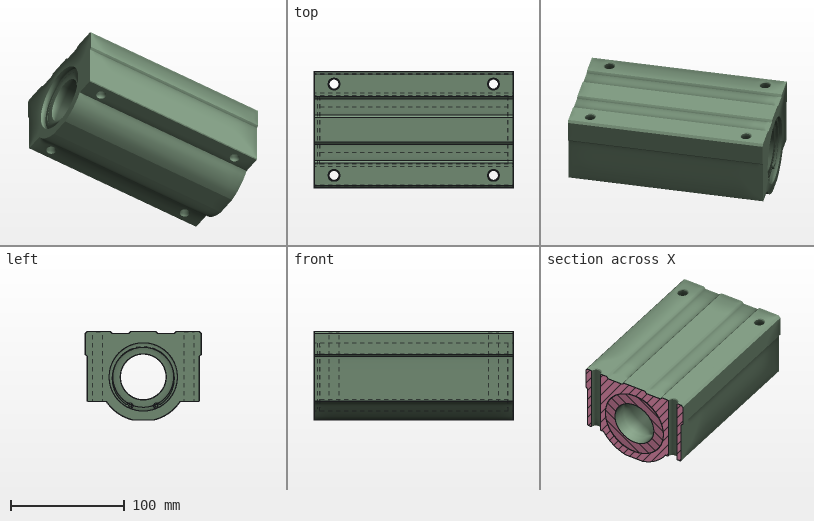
import cadquery as cq


length = 175.0
flange_width = 102.0
body_width = 98.5
top_z = 40.0
flange_bottom_z = 19.8
flange_chamfer = 2.0
body_bottom_z = -21.7
body_corner_chamfer = 0.7

belly_radius = 39.0
belly_flat_z = -38.0

groove_offset = 20.0
groove_top_width = 18.2
groove_depth = 2.0

hole_diameter = 8.8
hole_mouth_diameter = 10.3
countersink_angle = 90
hole_spacing_x = 140.0
hole_spacing_y = 80.2

bearing_diameter = 60.0
shaft_diameter = 40.0
bearing_inset = 4.9
seal_diameter = 53.4
seal_recess = 0.2

ring_thickness = 2.0
ring_inner_diameter = 54.6
ring_inner_drop = 1.31
ear_diameter = 4.9
ear_hole_diameter = 2.5
ear_y = 11.5
ear_z = -25.4
ear_fillet = 1.4

bearing_length = length - 2 * bearing_inset
bearing_start_x = -bearing_length / 2


def disc(diameter, start_x, thickness, z=0.0):
    """Cylinder along X, starting at start_x."""
    plane = cq.Workplane("YZ", origin=(start_x, 0, z))
    return plane.circle(diameter / 2).extrude(thickness)


def make_block():
    """Flanged block, extruded from its right half outline and mirrored."""
    flange_y = flange_width / 2
    body_y = body_width / 2
    step = flange_y - body_y
    half_outline = [
        (0, top_z),
        (flange_y - flange_chamfer, top_z),
        (flange_y, top_z - flange_chamfer),
        (flange_y, flange_bottom_z),
        (body_y, flange_bottom_z - step),
        (body_y, body_bottom_z + body_corner_chamfer),
        (body_y - body_corner_chamfer, body_bottom_z),
        (0, body_bottom_z),
    ]
    plane = cq.Workplane("YZ", origin=(-length / 2, 0, 0))
    half = plane.polyline(half_outline).close().extrude(length)
    return half.union(half.mirror("XZ"))


def make_belly():
    """Cylinder around the shaft axis, with a flat underside."""
    belly = disc(2 * belly_radius, -length / 2, length)
    keep = cq.Workplane("XY", origin=(0, 0, belly_flat_z)).box(
        length, 2 * belly_radius, -belly_flat_z, centered=(True, True, False)
    )
    return belly.intersect(keep)


def make_groove(center_y):
    """Cutter for one lengthwise groove in the top face."""
    half_top = groove_top_width / 2
    half_floor = half_top - groove_depth
    floor_z = top_z - groove_depth
    outline = [
        (center_y - half_top, top_z),
        (center_y - half_floor, floor_z),
        (center_y + half_floor, floor_z),
        (center_y + half_top, top_z),
    ]
    plane = cq.Workplane("YZ", origin=(-length / 2, 0, 0))
    return plane.polyline(outline).close().extrude(length)


def cut_mounting_holes(block):
    """Four vertical through holes, countersunk at the top face."""
    return (
        block.faces(">Z")
        .workplane(origin=(0, 0, top_z))
        .rarray(hole_spacing_x, hole_spacing_y, 2, 2)
        .cskHole(hole_diameter, hole_mouth_diameter, countersink_angle)
    )


def make_housing():
    """Block and belly in one piece, with grooves, mounting holes and the bearing bore."""
    housing = make_block().union(make_belly())
    for side in (-1, 1):
        housing = housing.cut(make_groove(side * groove_offset))
    housing = cut_mounting_holes(housing)
    return housing.cut(disc(bearing_diameter, -length / 2, length))


def make_bearing():
    """Plain sleeve with a shallow seal recess in each end face."""
    bearing = disc(bearing_diameter, bearing_start_x, bearing_length)
    bearing = bearing.cut(disc(shaft_diameter, bearing_start_x, bearing_length))
    for recess_x in (bearing_start_x, -bearing_start_x - seal_recess):
        bearing = bearing.cut(disc(seal_diameter, recess_x, seal_recess))
    return bearing


def make_retaining_ring():
    """Open ring against the -X end of the bearing, with an ear at each end."""
    start_x = bearing_start_x - ring_thickness
    plane = cq.Workplane("YZ", origin=(start_x, 0, 0))
    outer = disc(bearing_diameter, start_x, ring_thickness)
    ear_radius = ear_diameter / 2

    ring = outer.cut(disc(ring_inner_diameter, start_x, ring_thickness, -ring_inner_drop))
    opening = plane.center(0, -bearing_diameter / 2).rect(2 * ear_y, bearing_diameter)
    ring = ring.cut(opening.extrude(ring_thickness))

    ear_centers = [(-ear_y, ear_z), (ear_y, ear_z)]
    ears = plane.pushPoints(ear_centers).circle(ear_radius).extrude(ring_thickness)
    ring = ring.union(ears.intersect(outer))

    for side in (-1, 1):
        corner = (start_x + ring_thickness / 2, side * (ear_y + ear_radius), ear_z)
        ring = ring.edges("|X").edges(cq.selectors.NearestToPointSelector(corner)).fillet(ear_fillet)
    holes = plane.pushPoints(ear_centers).circle(ear_hole_diameter / 2).extrude(ring_thickness)
    return ring.cut(holes)


housing = make_housing()
bearing = make_bearing()
retaining_ring = make_retaining_ring()

result = cq.Compound.makeCompound(
    [housing.solids().val(), bearing.solids().val(), retaining_ring.solids().val()]
)